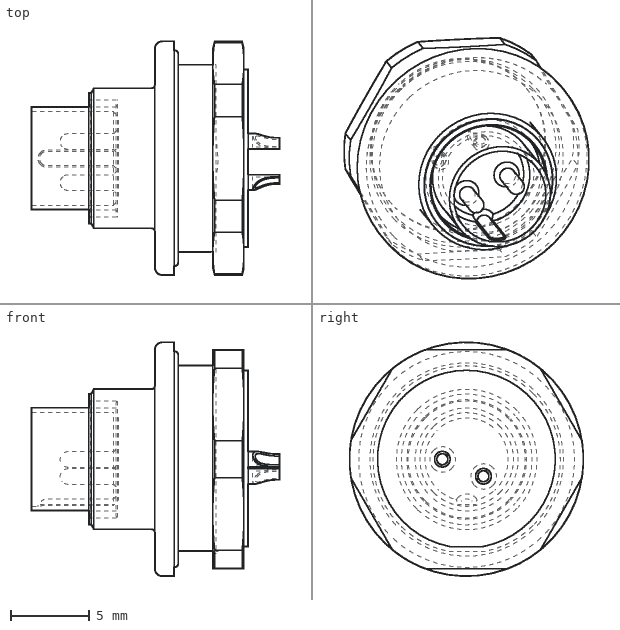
import cadquery as cq
import math

TOTAL_LENGTH = 15.9
HOUSING_FRONT = 3.69
FLANGE_FRONT = 7.9
FLANGE_BACK = 9.15
GASKET_BACK = 9.41
NUT_FRONT = 11.62
NUT_BACK = 13.61
BODY_BACK = 13.88

SLEEVE_DIAMETER = 6.6
HOUSING_DIAMETER = 9.0
HOUSING_LIP_DIAMETER = 8.38
HOUSING_LIP_LENGTH = 0.15
HOUSING_CHAMFER_AXIAL = 0.17
FLANGE_DIAMETER = 15.0
GASKET_DIAMETER = 13.83
THREAD_DIAMETER = 12.0
THREAD_FLAT = 5.88
REAR_DIAMETER = 11.38
REAR_FLAT = 5.6
HOUSING_ROOT_FILLET = 0.19
FLANGE_FILLET = 0.5
GASKET_FILLET = 0.24

RECESS_DIAMETER = 7.5
RECESS_CHAMFER = 0.08
RECESS_FLOOR = 5.72
SEAL_SECTION_RADIUS = 0.32
SEAL_CENTRE_RADIUS = (RECESS_DIAMETER + SLEEVE_DIAMETER) / 4

BORE_DIAMETER = 6.0
FLOOR_DIAMETER = 5.33
SOCKET_CONE_START = 5.23
SOCKET_FLOOR = 5.56

NUT_ACROSS_FLATS = 14.0
NUT_CHAMFER_RADIAL = 0.48
NUT_CHAMFER_AXIAL = 0.11
NUT_COUNTERSINK = 0.19

PIN_DIAMETER = 1.0
ROOT_FLARE = 0.32
ROOT_LENGTH = 0.32
PIN_TIP = 1.83
PIN_CIRCLE_RADIUS = 1.55
PIN_ANGLES = (180, 315)
CUP_OPENING_ANGLES = (150, 315)
CUP_DIAMETER = 0.7
CUP_START = 14.15
CUP_FLAT_START = 15.61
CUP_FLAT_OFFSET = -0.15
SCOOP_RADIUS = 1.91

KEY_END_CENTRE = 0.97
KEY_HALF_WIDTH = 0.55
KEY_TOP_RADIUS = 0.48
KEY_TOP_Z = -2.53
KEY_LEDGE_Z = -2.88


def cylinder(start, end, diameter, z=0.0):
    """Round bar along X."""
    section = cq.Workplane("YZ", origin=(start, 0, z)).circle(diameter / 2)
    return section.extrude(end - start)


def revolve_about_x(profile):
    """Turn an X-radius profile, closed along the axis, about the X axis."""
    return profile.revolve(360, (0, 0, 0), (1, 0, 0))


def make_housing():
    """Sleeve, housing barrel and flange, with the recess and the socket cut in."""
    chamfer_radial = (HOUSING_DIAMETER - HOUSING_LIP_DIAMETER) / 2
    lip_end = HOUSING_FRONT + HOUSING_LIP_LENGTH
    lip = cylinder(HOUSING_FRONT, lip_end, HOUSING_LIP_DIAMETER)
    barrel = cylinder(lip_end, FLANGE_BACK, HOUSING_DIAMETER)
    barrel = barrel.faces("<X").chamfer(HOUSING_CHAMFER_AXIAL, chamfer_radial).union(lip)
    flange = cylinder(FLANGE_FRONT, FLANGE_BACK, FLANGE_DIAMETER).faces("<X").edges().fillet(FLANGE_FILLET)
    flange_face_radius = FLANGE_DIAMETER / 2 - FLANGE_FILLET
    flange_face = cq.selectors.NearestToPointSelector((FLANGE_FRONT, 0, flange_face_radius))
    housing = barrel.union(flange)
    root_circle = cq.selectors.RadiusNthSelector(0)
    housing = housing.faces(flange_face).edges(root_circle).fillet(HOUSING_ROOT_FILLET)

    recess = cylinder(HOUSING_FRONT, RECESS_FLOOR, RECESS_DIAMETER)
    mouth_radius = RECESS_DIAMETER / 2 + RECESS_CHAMFER
    mouth = revolve_about_x(
        cq.Workplane("XY").moveTo(HOUSING_FRONT, 0).lineTo(HOUSING_FRONT, mouth_radius)
        .lineTo(HOUSING_FRONT + mouth_radius, 0).close())
    seal = revolve_about_x(
        cq.Workplane("XY").moveTo(RECESS_FLOOR, SEAL_CENTRE_RADIUS).circle(SEAL_SECTION_RADIUS))
    housing = housing.cut(recess).cut(mouth).union(seal)
    housing = housing.union(cylinder(0, FLANGE_BACK, SLEEVE_DIAMETER))

    socket = revolve_about_x(
        cq.Workplane("XY").lineTo(0, BORE_DIAMETER / 2).lineTo(SOCKET_CONE_START, BORE_DIAMETER / 2)
        .lineTo(SOCKET_FLOOR, FLOOR_DIAMETER / 2).lineTo(SOCKET_FLOOR, 0).close())
    return housing.cut(socket)


def flatted_cylinder(start, end, diameter, flat):
    """Cylinder along X with a flat on its lower side."""
    length = end - start
    keep = cq.Workplane("XY").box(length, diameter, diameter).translate(
        ((start + end) / 2, 0, diameter / 2 - flat))
    return cylinder(start, end, diameter).intersect(keep)


def make_rear():
    """Gasket behind the flange, threaded barrel and rear disc."""
    gasket = cylinder(FLANGE_BACK, GASKET_BACK, GASKET_DIAMETER).faces(">X").edges().fillet(GASKET_FILLET)
    thread = flatted_cylinder(FLANGE_BACK, NUT_BACK, THREAD_DIAMETER, THREAD_FLAT)
    disc = flatted_cylinder(NUT_BACK, BODY_BACK, REAR_DIAMETER, REAR_FLAT)
    return gasket.union(thread).union(disc)


def make_nut():
    """Hexagon with corners at +Y and -Y, rounded and chamfered by turning."""
    across_corners = NUT_ACROSS_FLATS / math.cos(math.pi / 6)
    hexagon = cq.Workplane("YZ", origin=(NUT_FRONT, 0, 0)).polygon(6, across_corners)
    turned = cylinder(NUT_FRONT, NUT_BACK, FLANGE_DIAMETER)
    turned = turned.faces("<X").chamfer(NUT_CHAMFER_AXIAL, NUT_CHAMFER_RADIAL)
    turned = turned.faces(">X").chamfer(NUT_CHAMFER_AXIAL, NUT_CHAMFER_RADIAL)
    nut = hexagon.extrude(NUT_BACK - NUT_FRONT).intersect(turned)
    countersink_radius = THREAD_DIAMETER / 2 + NUT_COUNTERSINK
    countersink = revolve_about_x(
        cq.Workplane("XY").moveTo(NUT_FRONT, 0).lineTo(NUT_FRONT, countersink_radius)
        .lineTo(NUT_FRONT + countersink_radius, 0).close())
    return nut.cut(countersink)


def make_pin(angle, opening_angle):
    """Round-tipped pin with a root cone and a scooped solder cup."""
    radius = PIN_DIAMETER / 2
    pin = revolve_about_x(
        cq.Workplane("XY").moveTo(PIN_TIP, 0)
        .radiusArc((PIN_TIP + radius, radius), radius)
        .lineTo(SOCKET_FLOOR - ROOT_LENGTH, radius)
        .lineTo(SOCKET_FLOOR, radius + ROOT_FLARE)
        .lineTo(SOCKET_FLOOR + ROOT_LENGTH, radius)
        .lineTo(TOTAL_LENGTH, radius).lineTo(TOTAL_LENGTH, 0).close())
    pin = pin.cut(cylinder(CUP_START, TOTAL_LENGTH, CUP_DIAMETER))

    arc_centre = CUP_FLAT_OFFSET + SCOOP_RADIUS
    arc_run = math.sqrt(SCOOP_RADIUS**2 - (arc_centre - PIN_DIAMETER)**2)
    scoop = (
        cq.Workplane("XY").moveTo(CUP_FLAT_START - arc_run, PIN_DIAMETER)
        .radiusArc((CUP_FLAT_START, CUP_FLAT_OFFSET), -SCOOP_RADIUS)
        .lineTo(TOTAL_LENGTH, CUP_FLAT_OFFSET).lineTo(TOTAL_LENGTH, PIN_DIAMETER).close()
        .extrude(PIN_DIAMETER, both=True))
    pin = pin.cut(scoop.rotate((0, 0, 0), (1, 0, 0), opening_angle))

    turn = math.radians(angle)
    return pin.translate((0, PIN_CIRCLE_RADIUS * math.cos(turn), PIN_CIRCLE_RADIUS * math.sin(turn)))


def make_key():
    """Round-topped key on a low ledge along the bore wall, domed at the front and flared at the floor."""
    wall_z = -SLEEVE_DIAMETER / 2
    ledge = (
        cq.Workplane("XY", origin=(KEY_END_CENTRE, 0, wall_z)).circle(KEY_HALF_WIDTH)
        .extrude(KEY_LEDGE_Z - wall_z))
    length = SOCKET_FLOOR - KEY_END_CENTRE
    ledge = ledge.union(
        cq.Workplane("XY", origin=(KEY_END_CENTRE + length / 2, 0, wall_z))
        .rect(length, 2 * KEY_HALF_WIDTH).extrude(KEY_LEDGE_Z - wall_z))

    axis_z = KEY_TOP_Z - KEY_TOP_RADIUS
    top = cylinder(KEY_END_CENTRE, SOCKET_FLOOR, 2 * KEY_TOP_RADIUS, z=axis_z)
    dome = cq.Workplane("XY").sphere(KEY_TOP_RADIUS).translate((KEY_END_CENTRE, 0, axis_z))
    root = revolve_about_x(
        cq.Workplane("XY").moveTo(SOCKET_FLOOR - ROOT_LENGTH, 0)
        .lineTo(SOCKET_FLOOR - ROOT_LENGTH, KEY_TOP_RADIUS)
        .lineTo(SOCKET_FLOOR, KEY_TOP_RADIUS + ROOT_FLARE).lineTo(SOCKET_FLOOR, 0).close())
    key = ledge.union(top).union(dome).union(root.translate((0, 0, axis_z)))
    sleeve_middle_diameter = (BORE_DIAMETER + SLEEVE_DIAMETER) / 2
    return key.intersect(cylinder(0, SOCKET_FLOOR, sleeve_middle_diameter))


result = make_housing().union(make_rear()).union(make_nut()).union(make_key())
for pin_angle, cup_angle in zip(PIN_ANGLES, CUP_OPENING_ANGLES):
    result = result.union(make_pin(pin_angle, cup_angle))